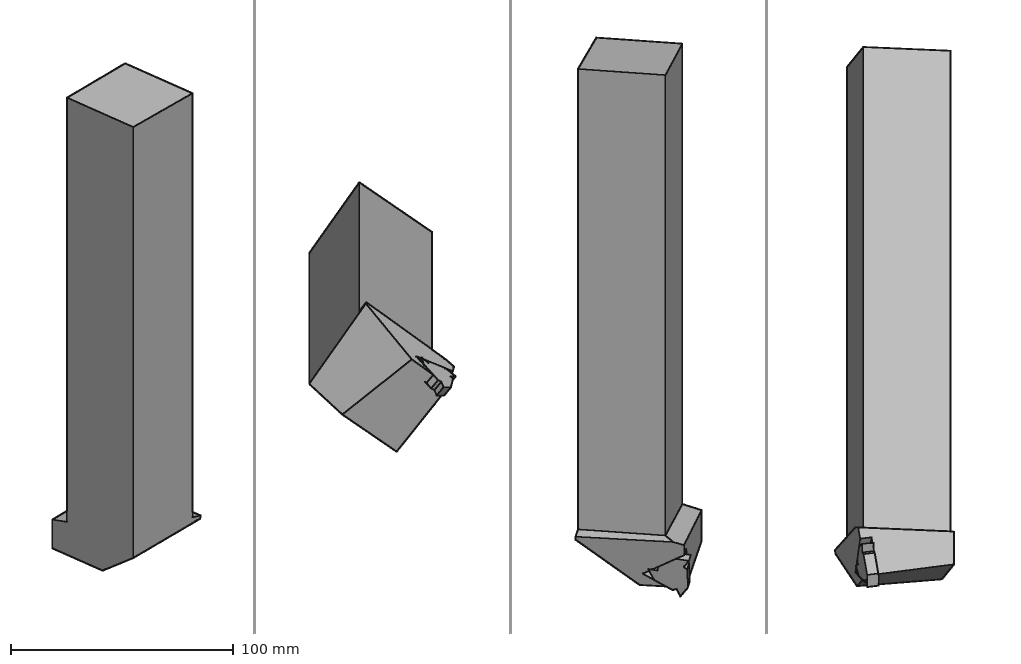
import cadquery as cq
import math

top_z = 251.0
shank_left = 11.5
shank_depth = 40.0
right_front = 51.0
right_rear = 51.7

head_rear = 45.5
head_left_front = 2.8
head_left_rear = 2.3
ledge_z = 29.0
ledge_angle = 14.5
corner_z = 26.0
corner_angle = 37.0
bottom_front_z = 11.8
rake_angle = 10.0
helix_angle = 1.5

insert_x = 8.0
insert_thickness = 5.3
insert_inradius = 6.8
notch_inradius = 5.3
notch_width = 1.8
tooth_tip_x = -3.3
tooth_tip_y = -10.8
left_flank_angle = 54.0
right_flank_angle = 66.0
corner_count = 3
corner_turn = 360 / corner_count
insert_z = -tooth_tip_y * math.cos(math.radians(rake_angle))

margin = 12.5


def fall(run, angle):
    """Height lost over a horizontal run at the given angle."""
    return run * math.tan(math.radians(angle))


def make_rake_plane():
    """Plane of the rake face: local X across the head, local Z into the head."""
    rake = math.radians(rake_angle)
    helix = math.radians(helix_angle)
    ledge_end_z = ledge_z - fall(head_rear - shank_depth, ledge_angle)
    x_dir = cq.Vector(math.cos(helix), math.sin(helix), 0)
    up = cq.Vector(-math.sin(helix) * math.sin(rake), math.cos(helix) * math.sin(rake), math.cos(rake))
    normal = x_dir.cross(up)
    corner = cq.Vector(right_rear, head_rear, ledge_end_z)
    start = cq.Vector(insert_x, head_rear, insert_z)
    origin_y = corner.y - (normal.x * (start.x - corner.x) + normal.z * (start.z - corner.z)) / normal.y
    return cq.Plane(origin=(insert_x, origin_y, insert_z), xDir=x_dir, normal=normal)


rake_plane = make_rake_plane()


def make_front_prism():
    """Outline seen along Y: shank, left ledge and slanted lower right corner."""
    ledge_left_z = ledge_z - fall(shank_left, ledge_angle)
    outer_right = right_rear + margin
    outer_corner_z = corner_z + fall(margin, corner_angle)
    bottom_x = right_rear - corner_z / math.tan(math.radians(corner_angle))
    outline = [
        (shank_left, top_z),
        (shank_left, ledge_z),
        (0, ledge_left_z),
        (0, 0),
        (bottom_x, 0),
        (outer_right, outer_corner_z),
        (outer_right, top_z),
    ]
    return cq.Workplane("XZ").polyline(outline).close().extrude(-head_rear)


def make_side_prism():
    """Outline seen along X: shank, rear ledge and tilted bottom."""
    outline = [
        (0, top_z),
        (0, bottom_front_z),
        (head_rear, bottom_front_z - fall(head_rear, rake_angle)),
        (head_rear, ledge_z - fall(head_rear - shank_depth, ledge_angle)),
        (shank_depth, ledge_z),
        (shank_depth, top_z),
    ]
    return cq.Workplane("YZ").polyline(outline).close().extrude(right_rear)


def make_plan_prism():
    """Outline seen along Z: both flanks lean outward toward the rear."""
    outline = [
        (head_left_front, 0),
        (right_front, 0),
        (right_rear, head_rear),
        (head_left_rear, head_rear),
    ]
    return cq.Workplane("XY").polyline(outline).close().extrude(top_z)


def turned(point, corner):
    """Point of the lowest tooth carried to the same place on another corner, clockwise."""
    turn = math.radians(-corner_turn * corner)
    x, y = point
    return (x * math.cos(turn) - y * math.sin(turn), x * math.sin(turn) + y * math.cos(turn))


def tooth_points():
    """Lowest tooth from the lower right side, over the tip, to the left side."""
    left_slope = math.tan(math.radians(left_flank_angle))
    right_slope = math.tan(math.radians(right_flank_angle))
    side_tilt = math.radians(corner_turn - 90)
    side_slope = math.tan(side_tilt)
    side_drop = insert_inradius / math.cos(side_tilt)
    notch_drop = notch_inradius / math.cos(side_tilt)

    notch_x = (right_slope * tooth_tip_x - tooth_tip_y - notch_drop) / (right_slope - side_slope)
    notch_end_x = notch_x + notch_width
    return [
        (notch_end_x, side_slope * notch_end_x - side_drop),
        (notch_x, side_slope * notch_x - notch_drop),
        (tooth_tip_x, tooth_tip_y),
        (-insert_inradius, tooth_tip_y + left_slope * (tooth_tip_x + insert_inradius)),
    ]


def make_insert():
    """Triangle with a pointed tooth and a notch at each corner, laid in from the rake face."""
    outline = [turned(point, corner) for corner in range(corner_count) for point in tooth_points()]
    return cq.Workplane(rake_plane).polyline(outline).close().extrude(insert_thickness)


def make_pocket():
    """Plain triangle along the insert sides, which leaves room beside the teeth."""
    corner_circle = 4 * insert_inradius
    return cq.Workplane(rake_plane).polygon(corner_count, corner_circle).extrude(insert_thickness)


def make_holder(insert):
    """Intersect the three outlines, trim the rake face and recess the insert."""
    blank = make_front_prism().intersect(make_side_prism()).intersect(make_plan_prism())
    trim_side = 3 * top_z
    rake_trim = cq.Workplane(rake_plane).rect(trim_side, trim_side).extrude(-margin)
    return blank.cut(rake_trim).cut(make_pocket()).cut(insert)


insert = make_insert()
holder = make_holder(insert)
result = cq.Compound.makeCompound([holder.val(), insert.val()])